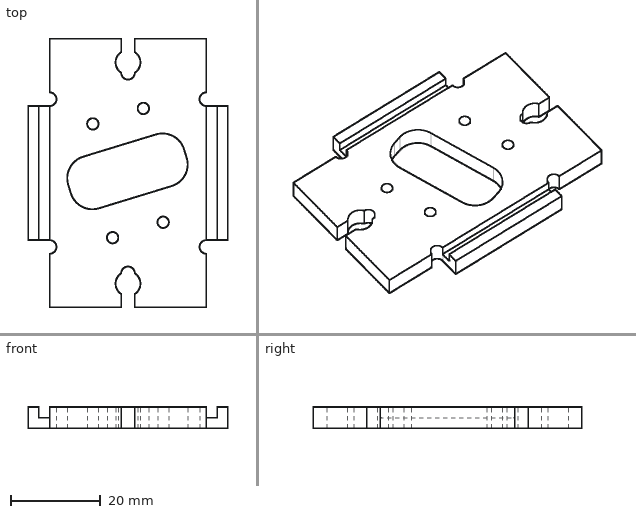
import cadquery as cq

plate_width = 35.0
plate_length = 60.0
thickness = 4.8

rail_length = 30.0
rail_wall = 2.4
groove_width = 2.4
groove_floor = 2.4

relief_diameter = 3.0

slot_width = 3.0
slot_depth = 9.1
keyhole_diameter = 5.5
keyhole_depth = 5.3

tilt = 17.0
window_length = 27.0
window_width = 12.0
window_corner_radius = 5.0
window_offset = 0.4

hole_diameter = 2.5
hole_spacing = 11.8
hole_row_shift = 1.6
hole_row_distance = 12.8


def make_plate():
    return cq.Workplane("XY").box(plate_width, plate_length, thickness, centered=(True, True, False))


def make_rail(side):
    """L-shaped rail; side is +1 for +X and -1 for -X."""
    inner = side * plate_width / 2
    wall_inner = inner + side * groove_width
    outer = wall_inner + side * rail_wall
    return (
        cq.Workplane("XZ", origin=(0, rail_length / 2, 0))
        .moveTo(inner, 0)
        .lineTo(outer, 0)
        .lineTo(outer, thickness)
        .lineTo(wall_inner, thickness)
        .lineTo(wall_inner, groove_floor)
        .lineTo(inner, groove_floor)
        .close()
        .extrude(rail_length)
    )


def make_reliefs():
    """Four round cutters on the plate edges, each tangent to a rail end."""
    x_spacing = plate_width
    y_spacing = rail_length + relief_diameter
    return (
        cq.Workplane("XY")
        .rect(x_spacing, y_spacing, forConstruction=True)
        .vertices()
        .circle(relief_diameter / 2)
        .extrude(thickness)
    )


def make_keyhole(end):
    """Round-ended slot with a wider round hole; end is +1 for +Y and -1 for -Y."""
    edge_y = end * plate_length / 2
    slot_end_y = edge_y - end * (slot_depth - slot_width / 2)
    keyhole_y = edge_y - end * keyhole_depth
    slot = (
        cq.Workplane("XY")
        .center(0, (edge_y + slot_end_y) / 2)
        .rect(slot_width, abs(edge_y - slot_end_y))
        .extrude(thickness)
    )
    slot_end = cq.Workplane("XY").center(0, slot_end_y).circle(slot_width / 2).extrude(thickness)
    keyhole = cq.Workplane("XY").center(0, keyhole_y).circle(keyhole_diameter / 2).extrude(thickness)
    return slot.union(slot_end).union(keyhole)


def tilted_plane():
    return cq.Workplane("XY").transformed(rotate=(0, 0, tilt))


def make_window():
    return (
        tilted_plane()
        .center(0, window_offset)
        .rect(window_length, window_width)
        .extrude(thickness)
        .edges("|Z")
        .fillet(window_corner_radius)
    )


def make_screw_holes():
    upper_row = [
        (hole_row_shift - hole_spacing / 2, hole_row_distance),
        (hole_row_shift + hole_spacing / 2, hole_row_distance),
    ]
    lower_row = [(-x, -y) for x, y in upper_row]
    return tilted_plane().pushPoints(upper_row + lower_row).circle(hole_diameter / 2).extrude(thickness)


result = make_plate()
for side in (1, -1):
    result = result.union(make_rail(side))
result = result.cut(make_reliefs())
for end in (1, -1):
    result = result.cut(make_keyhole(end))
result = result.cut(make_window()).cut(make_screw_holes())